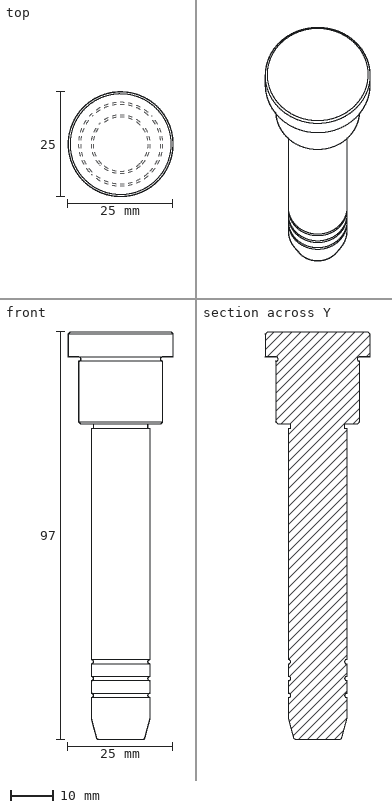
import cadquery as cq
import math

total_length = 97.0
head_height = 6.0
collar_length = 16.0
taper_length = 5.0

head_diameter = 25.0
collar_diameter = 20.0
shank_diameter = 14.0

head_chamfer = 0.5
collar_chamfer = 0.5
tip_fillet = 0.5
taper_angle = 15.0

neck_width = 1.0
neck_depth = 0.5

groove_radius = 0.5
groove_count = 3
groove_pitch = 4.0
first_groove_height = 10.5

head_radius = head_diameter / 2
collar_radius = collar_diameter / 2
shank_radius = shank_diameter / 2
collar_top = total_length - head_height
collar_bottom = collar_top - collar_length
tip_radius = shank_radius - taper_length * math.tan(math.radians(taper_angle))


def cylinder(radius, bottom, top):
    """Cylinder on the Z axis between two heights."""
    return cq.Workplane("XY").workplane(offset=bottom).circle(radius).extrude(top - bottom)


def make_head():
    """Flat head with a chamfered top rim."""
    return cylinder(head_radius, collar_top, total_length).faces(">Z").chamfer(head_chamfer)


def make_collar():
    """Fitting collar with a chamfered lower rim."""
    return cylinder(collar_radius, collar_bottom, collar_top).faces("<Z").chamfer(collar_chamfer)


def make_shank():
    """Long shank with a tapered lead-in and a rounded tip edge."""
    profile = (
        cq.Workplane("XZ")
        .moveTo(0, 0)
        .lineTo(tip_radius, 0)
        .lineTo(shank_radius, taper_length)
        .lineTo(shank_radius, collar_bottom)
        .lineTo(0, collar_bottom)
        .close()
    )
    return profile.revolve(360, (0, 0, 0), (0, 1, 0)).faces("<Z").edges().fillet(tip_fillet)


def groove_cutter(radius, center_height):
    """Ring with a semicircular cross-section, centred on a cylinder of the given radius."""
    return (
        cq.Workplane("XZ")
        .moveTo(radius, center_height - groove_radius)
        .threePointArc(
            (radius - groove_radius, center_height),
            (radius, center_height + groove_radius),
        )
        .close()
        .revolve(360, (0, 0, 0), (0, 1, 0))
    )


def neck_cutter():
    """Square-cornered relief ring at the top of the shank, just below the collar."""
    neck_bottom = collar_bottom - neck_width
    outer_ring = cylinder(shank_radius, neck_bottom, collar_bottom)
    return outer_ring.cut(cylinder(shank_radius - neck_depth, neck_bottom, collar_bottom))


result = make_head().union(make_collar()).union(make_shank())
result = result.cut(groove_cutter(collar_radius, collar_top - groove_radius))
result = result.cut(neck_cutter())
for index in range(groove_count):
    result = result.cut(groove_cutter(shank_radius, first_groove_height + index * groove_pitch))